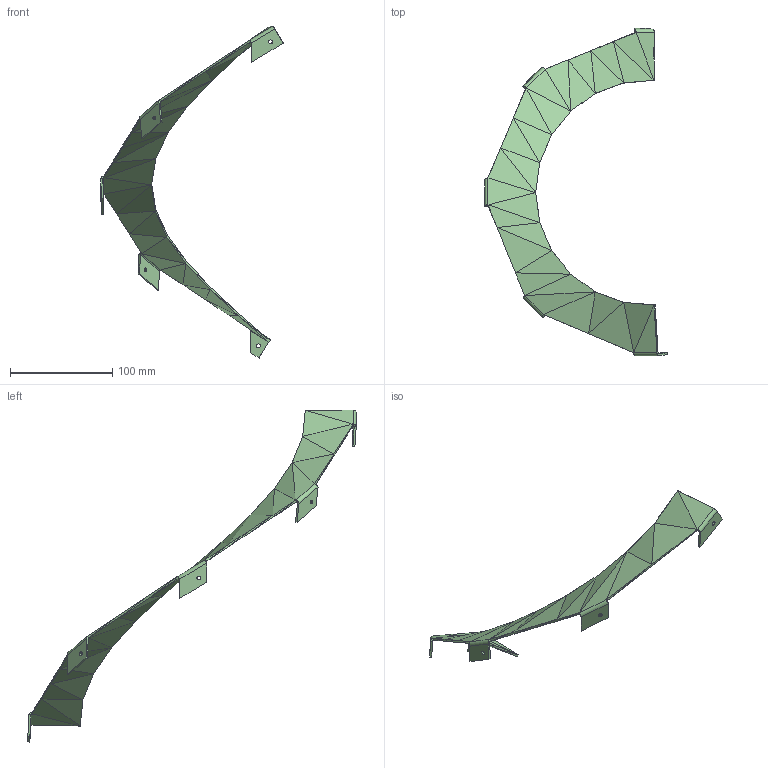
import cadquery as cq
import math


thickness = 2.0
inner_radius = 110.0
inner_steps = 12
step_angle = 15.48
rise_per_degree = 1.65
mid_angle = 180.0

tab_angles = (90.0, 135.0, 180.0, 225.0, 270.0)
bend_line_distance = 156.5
tab_half_length = 13.1
tab_shift = 1.2
low_end_half_length = 6.0
high_end_half_length = 8.4
bend_radius = 1.2
tab_leans = (-2.0, -2.0, 3.0, 1.0, 3.0)
flange_depth = 16.1
lowest_flange_depth = 18.3
hole_diameter = 3.8
hole_offset = 1.2
hole_drop = 8.6

span_pieces = (4, 3, 4, 2)
fan_ends = (2, 3, 4, 6, 7, 8, 10, 11, 13, 14, 16, 17, 18)


def helix_height(angle):
    return rise_per_degree * (angle - mid_angle)


def inner_points():
    points = []
    for step in range(inner_steps + 1):
        angle = mid_angle + step_angle * (step - inner_steps / 2)
        turn = math.radians(angle)
        x = inner_radius * math.cos(turn)
        y = inner_radius * math.sin(turn)
        points.append(cq.Vector(x, y, helix_height(angle)))
    return points


def bend_line_point(tab_angle, along):
    """Point on a tab's bend line, a signed distance along it from the tab's centre."""
    turn = math.radians(tab_angle)
    x = bend_line_distance * math.cos(turn) - along * math.sin(turn)
    y = bend_line_distance * math.sin(turn) + along * math.cos(turn)
    lead = math.degrees(math.atan2(along, bend_line_distance))
    return cq.Vector(x, y, helix_height(tab_angle + lead))


def outer_points():
    """Points of the outer edge from low to high, and the index of each tab's low end."""
    points = []
    tab_starts = []
    for number, tab_angle in enumerate(tab_angles):
        is_lowest = number == 0
        is_highest = number == len(tab_angles) - 1
        low_half = low_end_half_length if is_lowest else tab_half_length + tab_shift
        high_half = high_end_half_length if is_highest else tab_half_length - tab_shift
        low = bend_line_point(tab_angle, -low_half)
        high = bend_line_point(tab_angle, high_half)
        if points:
            previous = points[-1]
            pieces = span_pieces[number - 1]
            for piece in range(1, pieces):
                points.append(previous + (low - previous) * (piece / pieces))
        tab_starts.append(len(points))
        points += [low, high]
    return points, tab_starts


def strip_triangles():
    """Corner keys of every facet; a key is (edge name, index)."""
    triangles = []
    first = 0
    for index, last in enumerate(fan_ends):
        if index > 0:
            triangles.append((("inner", index - 1), ("outer", first), ("inner", index)))
        for outer in range(first, last):
            triangles.append((("inner", index), ("outer", outer), ("outer", outer + 1)))
        first = last
    return triangles


def normal_of(triangle, corners):
    """Upward unit normal of a facet."""
    a, b, c = [corners[key] for key in triangle]
    normal = (b - a).cross(c - a).normalized()
    return normal if normal.z > 0 else normal * -1


def tab_normals(triangles, corners, tab_starts):
    """Upward normal of the facet above each tab."""
    normals = []
    for start in tab_starts:
        edge = {("outer", start), ("outer", start + 1)}
        facet = next(triangle for triangle in triangles if edge <= set(triangle))
        normals.append(normal_of(facet, corners))
    return normals


def face_through(points):
    return cq.Face.makeFromWires(cq.Wire.makePolygon(points, close=True))


def make_strip(triangles, corners, fixed_normals, rim):
    """Closed shell around the facets; every corner is moved down by the sheet thickness."""
    lower = {}
    for key, corner in corners.items():
        normal = fixed_normals.get(key)
        if normal is None:
            normal = cq.Vector(0, 0, 0)
            for triangle in triangles:
                if key in triangle:
                    normal = normal + normal_of(triangle, corners)
            normal = normal.normalized()
        lower[key] = corner - normal * thickness
    faces = []
    for triangle in triangles:
        faces.append(face_through([corners[key] for key in triangle]))
        faces.append(face_through([lower[key] for key in triangle]))
    for key, next_key in zip(rim, rim[1:] + rim[:1]):
        if key in fixed_normals and fixed_normals[key] is fixed_normals.get(next_key):
            faces.append(face_through([corners[key], corners[next_key], lower[next_key], lower[key]]))
        else:
            faces.append(face_through([corners[key], corners[next_key], lower[next_key]]))
            faces.append(face_through([corners[key], lower[next_key], lower[key]]))
    return cq.Solid.makeSolid(cq.Shell.makeShell(faces))


def make_tab(low, high, normal, number):
    """Bend and flange below the edge from low to high."""
    along = (high - low).normalized()
    outward = along.cross(normal)
    length = (high - low).Length
    outer_bend = bend_radius + thickness
    bend_angle = math.radians(90 + tab_leans[number])

    def arc_point(radius, turn):
        """Outward distance and depth of a point on the bend."""
        return radius * math.sin(turn), outer_bend - radius * math.cos(turn)

    bend = (
        cq.Workplane(cq.Plane(origin=low, xDir=outward, normal=along))
        .threePointArc(arc_point(outer_bend, bend_angle / 2), arc_point(outer_bend, bend_angle))
        .lineTo(*arc_point(bend_radius, bend_angle))
        .threePointArc(arc_point(bend_radius, bend_angle / 2), arc_point(bend_radius, 0))
        .close()
        .extrude(length)
    )

    bend_reach, bend_depth = arc_point(outer_bend, bend_angle)
    face_origin = low + outward * bend_reach - normal * bend_depth
    face_normal = outward * math.sin(bend_angle) + normal * math.cos(bend_angle)
    face = cq.Plane(origin=face_origin, xDir=along, normal=face_normal)
    depth = lowest_flange_depth if number == 0 else flange_depth
    slant = depth * along.z / face.yDir.z
    low_is_free = number == 0
    high_is_free = number == len(tab_angles) - 1
    tab_center = bend_line_point(tab_angles[number], -tab_shift)
    hole_along = (tab_center - low).dot(along) + hole_offset
    flange = (
        cq.Workplane(face)
        .lineTo(length, 0)
        .lineTo(length if high_is_free else length - slant, -depth)
        .lineTo(0 if low_is_free else -slant, -depth)
        .close()
        .moveTo(hole_along, -hole_drop)
        .circle(hole_diameter / 2)
        .extrude(-thickness)
    )
    return bend.union(flange)


inner = inner_points()
outer, tab_starts = outer_points()
corners = {("inner", index): point for index, point in enumerate(inner)}
corners.update({("outer", index): point for index, point in enumerate(outer)})
triangles = strip_triangles()
normals = tab_normals(triangles, corners, tab_starts)

fixed_normals = {}
for start, normal in zip(tab_starts, normals):
    fixed_normals[("outer", start)] = normal
    fixed_normals[("outer", start + 1)] = normal

rim = [("inner", index) for index in range(len(inner))]
rim += [("outer", index) for index in reversed(range(len(outer)))]

result = cq.Workplane(make_strip(triangles, corners, fixed_normals, rim))
for number, start in enumerate(tab_starts):
    result = result.union(make_tab(outer[start], outer[start + 1], normals[number], number))